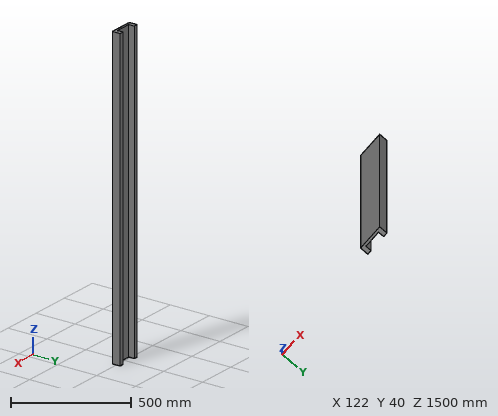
import cadquery as cq

length = 1500.0
width = 122.0
depth = 40.0
wall_thickness = 21.0
web_thickness = 12.0

channel_width = width - 2 * wall_thickness
channel_depth = depth - web_thickness

bar = cq.Workplane("XY").box(width, depth, length)

channel = (
    cq.Workplane("XY")
    .box(channel_width, channel_depth, length)
    .translate((0, web_thickness / 2, 0))
)

result = bar.cut(channel)